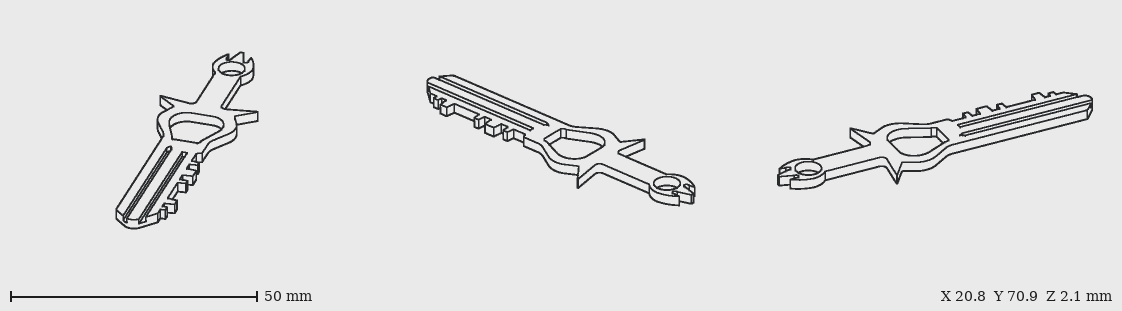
import cadquery as cq

length = 70.9
thickness = 2.1

crown_tip_half = 0.35
valley_inner = (1.3, 67.9)
valley_lowest = (1.85, 67.2)
valley_outer = (2.3, 68.05)
side_spike_tip = (2.4, 69.45)
crown_flank_middle = (3.6, 67.35)
crown_widest = (4.2, 64.9)
crown_neck_middle = (3.7, 62.95)
ring_center_y = 64.1
ring_radius = 2.7

handle_half = 2.7
handle_top = 61.6
guard_root = 48.0
guard_half_span = 10.4
guard_tip_top = 49.25
guard_tip_bottom = 49.05
guard_fillet = 1.05
notch = (6.45, 46.0)
notch_fillet = 0.3

bow_arc_top = (8.0, 42.9)
bow_widest = (8.2, 41.0)
bow_arc_bottom = (7.5, 38.85)
neck_arc_top = (5.5, 35.7)
neck_arc_middle = (4.95, 34.6)

blade_half = 4.8
blade_top = 33.45
cut_side_x = 3.75
cut_shoulder_top = 29.85
cut_shoulder_bottom = 29.35
tip_left_y = 3.0
tip_right_y = 4.05
tip_bevel = (-4.3, 2.4)
tip_arc_left = (-2.2, 0.6)
tip_arc_lowest = (-0.65, 0.0)
tip_arc_right = (0.9, 0.8)

long_tooth_x = 5.9
middle_tooth_x = 5.45
short_tooth_x = 4.8
teeth = [
    (25.5, 1.5, 1.1, middle_tooth_x),
    (21.6, 2.75, 2.35, long_tooth_x),
    (17.8, 1.5, 1.1, middle_tooth_x),
    (9.35, 2.2, 1.7, long_tooth_x),
    (6.4, 1.35, 1.2, short_tooth_x),
]

groove_depth = 1.05
groove_width = 1.05
pointed_groove_x = -2.1
pointed_groove_shoulder = 29.7
pointed_groove_end = 30.6
square_groove_x = 1.35
square_groove_end = 29.05

window_top = 44.6
window_bottom = 33.45
window_top_half = 2.7
window_bottom_half = 2.6
window_shoulder = (4.75, 43.4)
window_widest = (5.6, 40.9)
window_flank_middle = (5.5, 40.0)
window_taper_top = (5.25, 39.1)
window_taper_bottom = (3.1, 34.5)
window_corner = (3.0, 33.8)


def half_handle():
    """Right half of the crown, handle, guard and bow, closed along the Y axis."""
    return (
        cq.Workplane("XY")
        .moveTo(0, length)
        .lineTo(crown_tip_half, length)
        .lineTo(*valley_inner)
        .threePointArc(valley_lowest, valley_outer)
        .lineTo(*side_spike_tip)
        .threePointArc(crown_flank_middle, crown_widest)
        .threePointArc(crown_neck_middle, (handle_half, handle_top))
        .lineTo(handle_half, guard_root)
        .lineTo(guard_half_span, guard_tip_top)
        .lineTo(guard_half_span, guard_tip_bottom)
        .lineTo(*notch)
        .lineTo(*bow_arc_top)
        .threePointArc(bow_widest, bow_arc_bottom)
        .lineTo(*neck_arc_top)
        .threePointArc(neck_arc_middle, (blade_half, blade_top))
        .lineTo(0, blade_top)
        .close()
        .extrude(thickness)
    )


def vertical_edge_at(x, y):
    """Selector for the upright edge that passes through (x, y)."""
    return cq.selectors.NearestToPointSelector((x, y, thickness / 2))


def handle():
    half = half_handle()
    half = half.edges(vertical_edge_at(handle_half, guard_root)).fillet(guard_fillet)
    half = half.edges(vertical_edge_at(*notch)).fillet(notch_fillet)
    return half.union(half.mirror("YZ"))


def blade():
    """Straight blade, stepped in on the toothed side and rounded at the tip."""
    return (
        cq.Workplane("XY")
        .moveTo(-blade_half, blade_top)
        .lineTo(blade_half, blade_top)
        .lineTo(blade_half, cut_shoulder_top)
        .lineTo(cut_side_x, cut_shoulder_bottom)
        .lineTo(cut_side_x, tip_right_y)
        .lineTo(*tip_arc_right)
        .threePointArc(tip_arc_lowest, tip_arc_left)
        .lineTo(*tip_bevel)
        .lineTo(-blade_half, tip_left_y)
        .close()
        .extrude(thickness)
    )


def tooth(center_y, root_width, tip_width, tip_x):
    """Tapered tooth, standing on the cut side of the blade."""
    return (
        cq.Workplane("XY")
        .moveTo(0, center_y + root_width / 2)
        .lineTo(cut_side_x, center_y + root_width / 2)
        .lineTo(tip_x, center_y + tip_width / 2)
        .lineTo(tip_x, center_y - tip_width / 2)
        .lineTo(cut_side_x, center_y - root_width / 2)
        .lineTo(0, center_y - root_width / 2)
        .close()
        .extrude(thickness)
    )


def groove(center_x, shoulder_y, end_y):
    """Groove cutter; its end is pointed when end_y lies beyond shoulder_y."""
    outline = (
        cq.Workplane("XY", origin=(center_x, 0, thickness - groove_depth))
        .moveTo(-groove_width / 2, 0)
        .lineTo(-groove_width / 2, shoulder_y)
    )
    if end_y > shoulder_y:
        outline = outline.lineTo(0, end_y)
    return (
        outline.lineTo(groove_width / 2, shoulder_y)
        .lineTo(groove_width / 2, 0)
        .close()
        .extrude(groove_depth)
    )


def window():
    """Cutter for the window: wide and round at the top, tapering to the blade."""
    half = (
        cq.Workplane("XY")
        .moveTo(0, window_top)
        .lineTo(window_top_half, window_top)
        .threePointArc(window_shoulder, window_widest)
        .threePointArc(window_flank_middle, window_taper_top)
        .lineTo(*window_taper_bottom)
        .threePointArc(window_corner, (window_bottom_half, window_bottom))
        .lineTo(0, window_bottom)
        .close()
        .extrude(thickness)
    )
    return half.union(half.mirror("YZ"))


def ring_hole():
    return cq.Workplane("XY").center(0, ring_center_y).circle(ring_radius).extrude(thickness)


body = handle().union(blade())
for tooth_sizes in teeth:
    body = body.union(tooth(*tooth_sizes))

body = body.cut(ring_hole()).cut(window())
body = body.cut(groove(pointed_groove_x, pointed_groove_shoulder, pointed_groove_end))
body = body.cut(groove(square_groove_x, square_groove_end, square_groove_end))

result = body.clean()